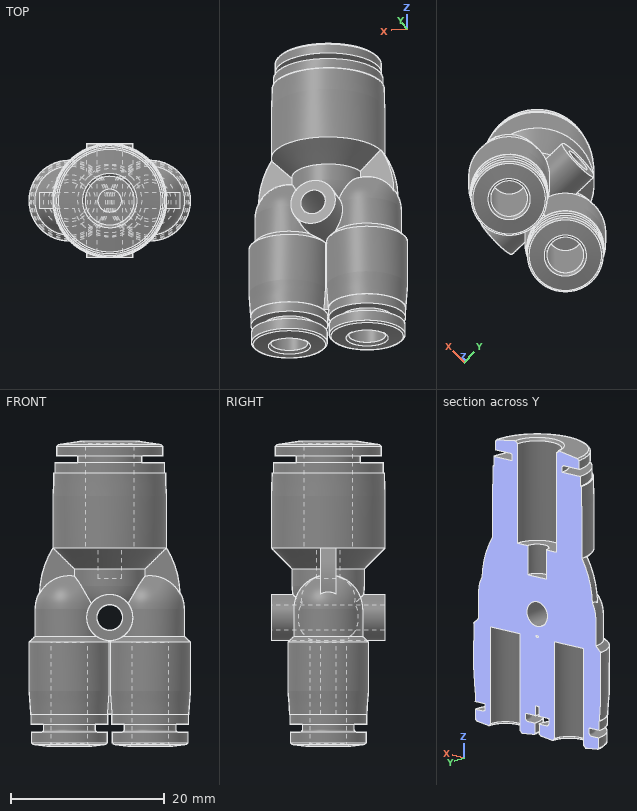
import cadquery as cq

trunk_top = 39.7
trunk_rim_radius = 6.9
trunk_rim_edge = 39.22
trunk_rim_bottom = 37.75
trunk_neck_radius = 4.15
trunk_neck_fillet = 0.2
trunk_mouth_top = 36.9
trunk_mouth_radius = 7.15
trunk_mouth_bottom = 35.55
trunk_step_radius = 7.3
trunk_taper_bottom = 32.47
trunk_radius = 14.8 / 2
trunk_shoulder = 25.75
trunk_cone_bottom = 23.05
stem_radius = 4.72
stem_bottom = 20.85
trunk_bore_radius = 3.18
trunk_bore_floor = 25.8
passage_radius = 1.5
passage_floor = 21.85

branch_spacing = 10.5
branch_offset = branch_spacing / 2
branch_rim_radius = 9.9 / 2
branch_rim_edge = 0.48
branch_rim_top = 1.85
branch_neck_radius = 3.37
branch_neck_fillet = 0.3
branch_mouth_bottom = 2.85
branch_mouth_radius = 5.0
branch_mouth_top = 4.15
branch_step_radius = 5.05
branch_taper_top = 7.2
branch_radius = 10.52 / 2
branch_shoulder = 13.55
branch_chamfer_top = 14.3
shank_radius = 4.5
shank_top = 17.83
branch_bore_radius = 2.4
branch_bore_depth = 13.5

bore_chamfer = 0.35
rim_fillet = 0.25

boss_height = 16.75
boss_radius = 6.0 / 2
boss_hole_radius = 3.3 / 2
boss_length = 2 * trunk_radius

rib_thickness = 2.05
rib_mid = (8.7, 22.83)
rib_foot = (9.15, 19.65)
web_thickness = 2.05


def trunk():
    """Trunk turned about Z, with a domed lower end."""
    return (
        cq.Workplane("YZ")
        .moveTo(0, trunk_top)
        .lineTo(trunk_bore_radius + bore_chamfer, trunk_top)
        .lineTo(trunk_rim_radius - rim_fillet, trunk_rim_edge)
        .lineTo(trunk_rim_radius, trunk_rim_edge - rim_fillet)
        .lineTo(trunk_rim_radius, trunk_rim_bottom)
        .lineTo(trunk_neck_radius + trunk_neck_fillet, trunk_rim_bottom)
        .radiusArc((trunk_neck_radius, trunk_rim_bottom - trunk_neck_fillet), -trunk_neck_fillet)
        .lineTo(trunk_neck_radius, trunk_mouth_top)
        .lineTo(trunk_mouth_radius, trunk_mouth_top)
        .lineTo(trunk_mouth_radius, trunk_mouth_bottom)
        .lineTo(trunk_step_radius, trunk_mouth_bottom)
        .lineTo(trunk_radius, trunk_taper_bottom)
        .lineTo(trunk_radius, trunk_shoulder)
        .lineTo(stem_radius, trunk_cone_bottom)
        .lineTo(stem_radius, stem_bottom)
        .radiusArc((0, stem_bottom - stem_radius), stem_radius)
        .close()
        .revolve(360, (0, 0), (0, 1))
    )


def branch():
    """One branch turned about Z, with a domed upper end."""
    return (
        cq.Workplane("YZ")
        .lineTo(branch_bore_radius + bore_chamfer, 0)
        .lineTo(branch_rim_radius - rim_fillet, branch_rim_edge - rim_fillet)
        .lineTo(branch_rim_radius, branch_rim_edge)
        .lineTo(branch_rim_radius, branch_rim_top)
        .lineTo(branch_neck_radius + branch_neck_fillet, branch_rim_top)
        .radiusArc((branch_neck_radius, branch_rim_top + branch_neck_fillet), branch_neck_fillet)
        .lineTo(branch_neck_radius, branch_mouth_bottom)
        .lineTo(branch_mouth_radius, branch_mouth_bottom)
        .lineTo(branch_mouth_radius, branch_mouth_top)
        .lineTo(branch_step_radius, branch_mouth_top)
        .lineTo(branch_radius, branch_taper_top)
        .lineTo(branch_radius, branch_shoulder)
        .lineTo(shank_radius, branch_chamfer_top)
        .lineTo(shank_radius, shank_top)
        .radiusArc((0, shank_top + shank_radius), -shank_radius)
        .close()
        .revolve(360, (0, 0), (0, 1))
    )


def port_bore(radius, depth):
    """Blind bore rising from Z = 0, with a chamfered mouth."""
    return (
        cq.Workplane("XZ")
        .lineTo(radius + bore_chamfer, 0)
        .lineTo(radius, bore_chamfer)
        .lineTo(radius, depth)
        .lineTo(0, depth)
        .close()
        .revolve(360, (0, 0), (0, 1))
    )


def rib():
    """Curved rib on the +X side."""
    return (
        cq.Workplane("XZ")
        .moveTo(trunk_radius, trunk_shoulder)
        .threePointArc(rib_mid, rib_foot)
        .lineTo(branch_offset, rib_foot[1])
        .lineTo(0, stem_bottom)
        .lineTo(0, trunk_shoulder)
        .close()
        .extrude(rib_thickness / 2, both=True)
    )


def web():
    """Flat web joining the two branches."""
    return (
        cq.Workplane("XY")
        .workplane(offset=branch_mouth_top)
        .rect(branch_offset, web_thickness)
        .extrude(branch_shoulder - branch_mouth_top)
    )


def cross_cylinder(radius):
    """Cylinder along Y through the mounting boss position."""
    return (
        cq.Workplane("XZ")
        .center(0, boss_height)
        .circle(radius)
        .extrude(boss_length / 2, both=True)
    )


body = trunk().union(web())
branch_body = branch()
right_rib = rib()
for side in (-1, 1):
    body = body.union(branch_body.translate((side * branch_offset, 0, 0)))
body = body.union(right_rib).union(right_rib.mirror("YZ"))
body = body.union(cross_cylinder(boss_radius))

trunk_bore = port_bore(trunk_bore_radius, trunk_top - trunk_bore_floor)
body = body.cut(trunk_bore.mirror("XY").translate((0, 0, trunk_top)))
passage = (
    cq.Workplane("XY")
    .workplane(offset=passage_floor)
    .circle(passage_radius)
    .extrude(trunk_bore_floor - passage_floor)
)
body = body.cut(passage)

branch_bore = port_bore(branch_bore_radius, branch_bore_depth)
for side in (-1, 1):
    body = body.cut(branch_bore.translate((side * branch_offset, 0, 0)))

result = body.cut(cross_cylinder(boss_hole_radius))